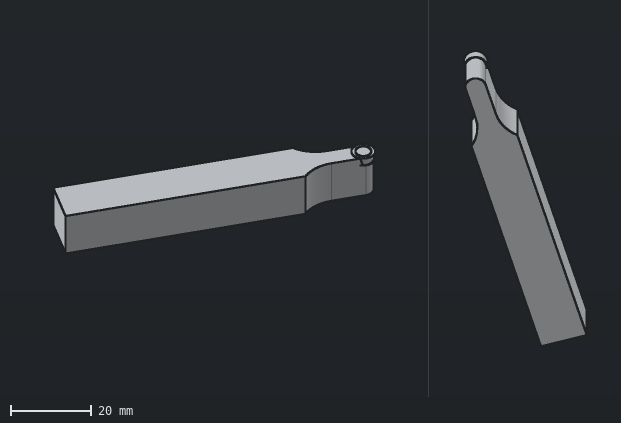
import cadquery as cq
import math

TOTAL_LENGTH = 81.4
SHANK_WIDTH = 12.0
SHANK_HEIGHT = 12.0
SHANK_LENGTH = 61.9
NECK_WIDTH = 5.2
FLARE_RADIUS = 10.2

INSERT_TOP_DIAMETER = 6.0
INSERT_HEIGHT = 2.45
INSERT_PROTRUSION = 0.1
INSERT_RELIEF_ANGLE = 7.0
DISH_DIAMETER = 4.0
DISH_DEPTH = 0.1

insert_radius = INSERT_TOP_DIAMETER / 2
insert_bottom_radius = insert_radius - INSERT_HEIGHT * math.tan(math.radians(INSERT_RELIEF_ANGLE))
insert_center_y = TOTAL_LENGTH - insert_radius
insert_bottom_z = SHANK_HEIGHT + INSERT_PROTRUSION - INSERT_HEIGHT
half_shank = SHANK_WIDTH / 2
half_neck = NECK_WIDTH / 2

flare_angle = math.acos(1 - (half_shank - half_neck) / FLARE_RADIUS)
flare_end_y = SHANK_LENGTH + FLARE_RADIUS * math.sin(flare_angle)
flare_mid_x = half_neck + FLARE_RADIUS * (1 - math.cos(flare_angle / 2))
flare_mid_y = flare_end_y - FLARE_RADIUS * math.sin(flare_angle / 2)


def insert_blank():
    """Round tapered blank, widest at its top face."""
    return (
        cq.Workplane("XY", origin=(0, insert_center_y, insert_bottom_z))
        .circle(insert_bottom_radius)
        .workplane(offset=INSERT_HEIGHT)
        .circle(insert_radius)
        .loft(ruled=True)
    )


def make_insert():
    """Round cutting insert with a shallow dish in its top face."""
    return insert_blank().faces(">Z").workplane().hole(DISH_DIAMETER, DISH_DEPTH)


def make_holder():
    """Square shank with a flared, round-nosed neck and a seat for the insert."""
    body = (
        cq.Workplane("XY")
        .moveTo(-half_shank, 0)
        .lineTo(half_shank, 0)
        .lineTo(half_shank, SHANK_LENGTH)
        .threePointArc((flare_mid_x, flare_mid_y), (half_neck, flare_end_y))
        .lineTo(half_neck, insert_center_y)
        .threePointArc((0, insert_center_y + half_neck), (-half_neck, insert_center_y))
        .lineTo(-half_neck, flare_end_y)
        .threePointArc((-flare_mid_x, flare_mid_y), (-half_shank, SHANK_LENGTH))
        .close()
        .extrude(SHANK_HEIGHT)
    )
    return body.cut(insert_blank())


holder = make_holder()
insert = make_insert()

result = cq.Compound.makeCompound([holder.val(), insert.val()])